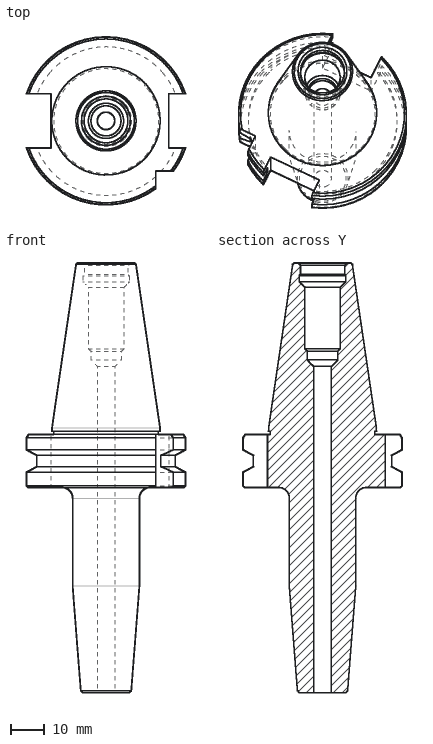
import cadquery as cq
import math

total_length = 127.8
shank_cone_top = 31.8
flange_bottom = 61.0
flange_top = 76.8
relief_top = 77.7
taper_bottom = 78.7

taper_slope = 7 / 48
taper_large_radius = 16.1
taper_length = total_length - taper_bottom
taper_small_radius = taper_large_radius - taper_slope * taper_length
taper_end_chamfer = 0.5
relief_radius = 15.6

flange_diameter = 50.0
flange_radius = flange_diameter / 2
flange_chamfer_radial = 0.6
flange_chamfer_axial = 1.0
flange_bottom_chamfer = 0.5
groove_floor_radius = 22.1
groove_floor_height = 3.3
groove_center = (flange_top + flange_bottom) / 2
groove_flank_angle = 30.0

shank_radius = 10.0
shank_fillet = 3.1
nose_radius = 7.5
nose_chamfer = 0.6

through_radius = 2.5
entry_radius = 7.3
entry_chamfer = 0.8
pilot_radius = 6.5
pilot_depth = 3.5
pilot_relief_radius = 6.9
pilot_relief_depth = 5.6
thread_radius = 5.2
thread_depth = 25.5
thread_runout_radius = 4.5
thread_runout_length = 2.5

slot_width = 16.1
left_slot_floor = 16.4
right_slot_floor = 18.7
notch_x = 14.8
notch_y = 15.0


def turned_body():
    """Revolve the outer profile around Z."""
    floor_half = groove_floor_height / 2
    flank_height = (flange_radius - groove_floor_radius) * math.tan(math.radians(groove_flank_angle))
    rim_half = floor_half + flank_height
    arc_offset = shank_fillet * (1 - math.sqrt(0.5))
    profile = (
        cq.Workplane("XZ")
        .moveTo(0, 0)
        .lineTo(nose_radius - nose_chamfer, 0)
        .lineTo(nose_radius, nose_chamfer)
        .lineTo(shank_radius, shank_cone_top)
        .lineTo(shank_radius, flange_bottom - shank_fillet)
        .threePointArc(
            (shank_radius + arc_offset, flange_bottom - arc_offset),
            (shank_radius + shank_fillet, flange_bottom),
        )
        .lineTo(flange_radius - flange_bottom_chamfer, flange_bottom)
        .lineTo(flange_radius, flange_bottom + flange_bottom_chamfer)
        .lineTo(flange_radius, groove_center - rim_half)
        .lineTo(groove_floor_radius, groove_center - floor_half)
        .lineTo(groove_floor_radius, groove_center + floor_half)
        .lineTo(flange_radius, groove_center + rim_half)
        .lineTo(flange_radius, flange_top - flange_chamfer_axial)
        .lineTo(flange_radius - flange_chamfer_radial, flange_top)
        .lineTo(relief_radius, flange_top)
        .lineTo(relief_radius, relief_top)
        .lineTo(taper_large_radius, relief_top)
        .lineTo(taper_large_radius, taper_bottom)
        .lineTo(taper_small_radius, total_length - taper_end_chamfer)
        .lineTo(taper_small_radius - taper_end_chamfer, total_length)
        .lineTo(0, total_length)
        .close()
    )
    return profile.revolve(360, (0, 0, 0), (0, 1, 0))


def bore():
    """Stepped through bore with 45 degree cones between its diameters."""
    pilot_floor = total_length - pilot_depth
    thread_floor = total_length - thread_depth
    relief_floor = total_length - pilot_relief_depth
    relief_flare = pilot_relief_radius - pilot_radius
    relief_cone = pilot_relief_radius - thread_radius
    runout_floor = thread_floor - (thread_radius - thread_runout_radius)
    runout_end = runout_floor - thread_runout_length
    through_start = runout_end - (thread_runout_radius - through_radius)
    profile = (
        cq.Workplane("XZ")
        .moveTo(0, 0)
        .lineTo(through_radius, 0)
        .lineTo(through_radius, through_start)
        .lineTo(thread_runout_radius, runout_end)
        .lineTo(thread_runout_radius, runout_floor)
        .lineTo(thread_radius, thread_floor)
        .lineTo(thread_radius, relief_floor - relief_cone)
        .lineTo(pilot_relief_radius, relief_floor)
        .lineTo(pilot_relief_radius, pilot_floor - relief_flare)
        .lineTo(pilot_radius, pilot_floor)
        .lineTo(pilot_radius, total_length - entry_chamfer)
        .lineTo(entry_radius, total_length)
        .lineTo(0, total_length)
        .close()
    )
    return profile.revolve(360, (0, 0, 0), (0, 1, 0))


def flange_cut(x_start, x_end, y_start, y_end):
    """Rectangular block through the full flange height."""
    return (
        cq.Workplane("XY")
        .workplane(offset=flange_bottom)
        .moveTo((x_start + x_end) / 2, (y_start + y_end) / 2)
        .rect(abs(x_end - x_start), abs(y_end - y_start))
        .extrude(flange_top - flange_bottom)
    )


half_slot = slot_width / 2
result = turned_body().cut(bore())
result = result.cut(flange_cut(-flange_radius, -left_slot_floor, -half_slot, half_slot))
result = result.cut(flange_cut(right_slot_floor, flange_radius, -half_slot, half_slot))
result = result.cut(flange_cut(notch_x, flange_radius, -flange_radius, -notch_y))